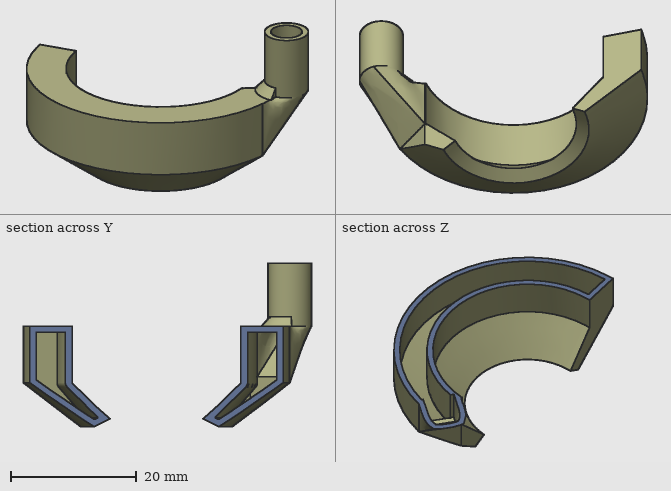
import cadquery as cq
import math


overall_length = 45.8
wall = 1.0

rim_outer_radius = 21.3
rim_inner_radius = 15.0
rim_height = 9.0
skirt_depth = 7.0
skirt_tip_radius = 12.0
skirt_lip_radius = 10.0
skirt_lip_rise = 1.3
closed_end_angle = 190

tube_radius = 3.5
bore_radius = tube_radius - wall
tube_length = 10.0
tube_y = 4.25

feed_angle = 60
joint_distance = 6.0
corner_angle = 34
collar_size = 1.5

closed_end_lean = math.radians(closed_end_angle - 180)
closed_end_reach = rim_outer_radius * math.cos(closed_end_lean) + wall * math.sin(closed_end_lean)
tube_x = overall_length - closed_end_reach - tube_radius

heading = math.radians(feed_angle)
joint_corner_x = tube_x - joint_distance * math.cos(heading) - tube_radius * math.sin(heading)
joint_corner_y = tube_y - joint_distance * math.sin(heading) + tube_radius * math.cos(heading)
open_end_angle = 360 + math.degrees(math.atan2(joint_corner_y, joint_corner_x))
end_wall_angle = math.degrees(wall / rim_inner_radius)


def place_feed(shape):
    """Move a shape from the tube frame (tube axis on Z, rim towards -X) to its place."""
    return shape.rotate((0, 0, 0), (0, 0, 1), feed_angle).translate((tube_x, tube_y, 0))


def section():
    """Rim and skirt profile in the XZ plane."""
    return cq.Workplane("XZ").polyline([
        (rim_inner_radius, rim_height),
        (rim_outer_radius, rim_height),
        (rim_outer_radius, 0),
        (skirt_tip_radius, -skirt_depth),
        (skirt_lip_radius, skirt_lip_rise - skirt_depth),
        (rim_inner_radius, 0),
    ]).close()


def sweep_arc(profile, end_angle):
    """Revolve a profile from the closed end to end_angle."""
    arc = profile.revolve(end_angle - closed_end_angle, (0, 0), (0, 1))
    return arc.rotate((0, 0, 0), (0, 0, 1), closed_end_angle)


def trim_at_joint(shape, setback):
    """Remove everything on the tube side of the joint plane, moved back by setback."""
    size = 4 * rim_outer_radius
    block = cq.Workplane("XY").box(size, size, size, centered=(False, True, True))
    return shape.cut(place_feed(block.translate((-joint_distance - setback, 0, 0))))


def transition(inset):
    """Ruled solid from the upright rectangle at the joint to the tube's circle."""
    radius = tube_radius - inset
    corners = [
        cq.Vector(-joint_distance, -radius, rim_height - inset),
        cq.Vector(-joint_distance, radius, rim_height - inset),
        cq.Vector(-joint_distance, radius, inset),
        cq.Vector(-joint_distance, -radius, inset),
    ]

    def on_circle(angle):
        turn = math.radians(angle)
        return cq.Vector(radius * math.cos(turn), radius * math.sin(turn), rim_height)

    arc_ends = [180 + corner_angle, 180 - corner_angle, corner_angle, -corner_angle]
    arc_middles = [180, 90, 0, -90]
    sides = []
    arcs = []
    for i in range(4):
        following = (i + 1) % 4
        sides.append(cq.Edge.makeLine(corners[i], corners[following]))
        arcs.append(cq.Edge.makeThreePointArc(
            on_circle(arc_ends[i]), on_circle(arc_middles[i]), on_circle(arc_ends[following])))
    faces = [cq.Face.makeRuledSurface(side, arc) for side, arc in zip(sides, arcs)]
    faces.append(cq.Face.makeFromWires(cq.Wire.assembleEdges(sides)))
    faces.append(cq.Face.makeFromWires(cq.Wire.assembleEdges(arcs)))
    return cq.Workplane(obj=cq.Solid.makeSolid(cq.Shell.makeShell(faces)).fix())


def tube(radius):
    return cq.Workplane("XY").workplane(offset=rim_height).circle(radius).extrude(tube_length)


def collar():
    """45 degree bevel at the foot of the tube, on the rim side only."""
    mid_wall_radius = tube_radius - wall / 2
    ring = (
        cq.Workplane("XZ")
        .polyline([
            (mid_wall_radius, rim_height),
            (tube_radius + collar_size, rim_height),
            (tube_radius, rim_height + collar_size),
            (mid_wall_radius, rim_height + collar_size),
        ]).close()
        .revolve(2 * corner_angle, (0, 0), (0, 1))
    )
    return ring.rotate((0, 0, 0), (0, 0, 1), 180 - corner_angle)


def duct_inlet():
    """Straight rectangular passage through the end wall of the arc."""
    passage = cq.Workplane("XY").box(
        wall, 2 * bore_radius, rim_height - 2 * wall, centered=(False, True, False))
    return passage.translate((-joint_distance - wall, 0, wall))


end_cap = section().extrude(wall).rotate((0, 0, 0), (0, 0, 1), closed_end_angle)
arc_body = trim_at_joint(sweep_arc(section(), open_end_angle), 0).union(end_cap)
feed_body = transition(0).union(tube(tube_radius)).union(collar())
body = arc_body.union(place_feed(feed_body))

arc_cavity = sweep_arc(section().offset2D(-wall), open_end_angle - end_wall_angle)
arc_cavity = trim_at_joint(arc_cavity, wall)
feed_cavity = transition(wall).union(tube(bore_radius)).union(duct_inlet())

result = body.cut(arc_cavity).cut(place_feed(feed_cavity))